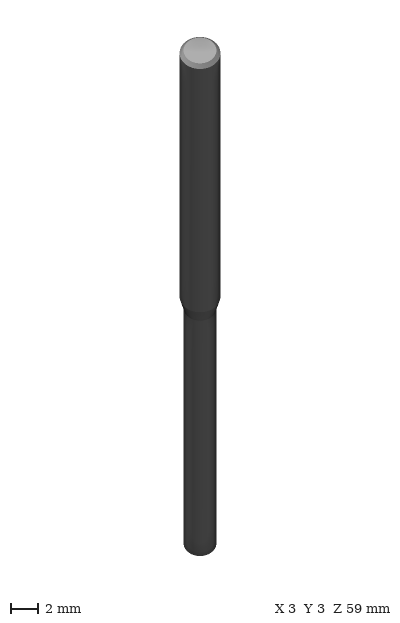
import cadquery as cq
import math

total_length = 59.0
shank_diameter = 3.0
cutting_diameter = 2.4
point_angle = 130.0

cutting_top = 22.3
taper_bottom = 28.5
taper_top = 29.85

chamfer_width = 0.3
chamfer_height = 0.3

shank_radius = shank_diameter / 2
cutting_radius = cutting_diameter / 2
point_height = cutting_radius / math.tan(math.radians(point_angle / 2))


def revolve_profile(points):
    """Turn a closed (radius, height) outline about the Z axis."""
    return cq.Workplane("XZ").polyline(points).close().revolve(360, (0, 0), (0, 1))


def make_shank():
    """Shank with a chamfered end, tapering down to a neck."""
    return revolve_profile([
        (0, cutting_top),
        (cutting_radius, cutting_top),
        (cutting_radius, taper_bottom),
        (shank_radius, taper_top),
        (shank_radius, total_length - chamfer_height),
        (shank_radius - chamfer_width, total_length),
        (0, total_length),
    ])


def make_cutting_part():
    """Plain cylinder ending in the conical drill point."""
    return revolve_profile([
        (0, 0),
        (cutting_radius, point_height),
        (cutting_radius, cutting_top),
        (0, cutting_top),
    ])


shank = make_shank()
cutting_part = make_cutting_part()

result = cq.Compound.makeCompound([shank.val(), cutting_part.val()])